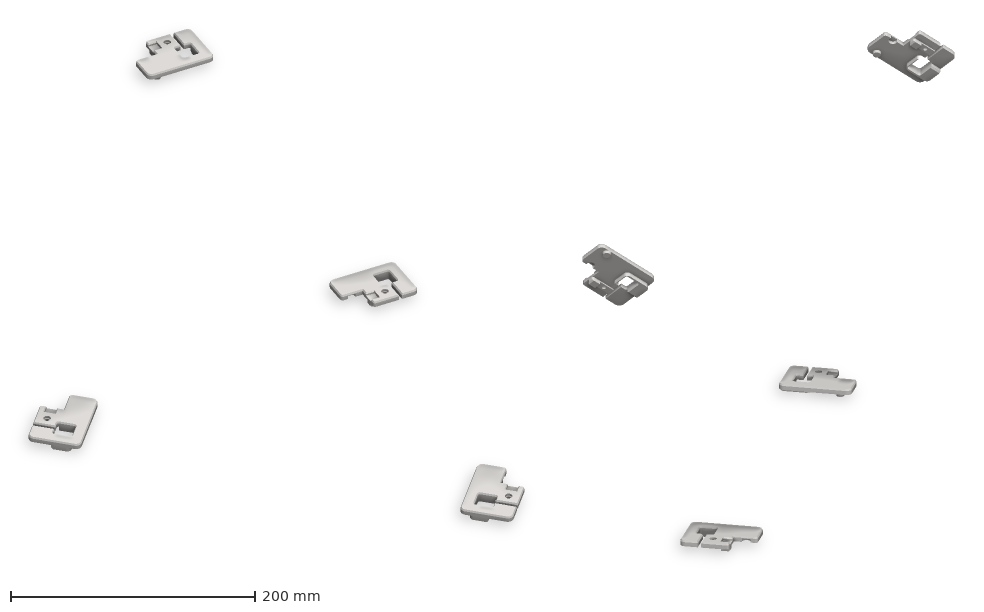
import cadquery as cq
import math

pair_length = 410.0
plate_width = 44.5
plate_depth = 61.0
total_height = 9.0
underside_height = 4.0
plate_thickness = total_height - underside_height
top = total_height / 2
plate_bottom = top - plate_thickness
lowest = top - total_height
left_edge = -pair_length / 2
back_edge = plate_depth / 2

leg_left = 20.0
block_depth = 41.5
large_radius = 5.0
leg_radius = 2.5
block_radius = 1.85
top_bevel_in = 1.0
top_bevel_down = 1.45
bevel_angle = math.degrees(math.atan(top_bevel_in / top_bevel_down))

window_left = 19.0
window_right = 35.0
window_back = 10.0
window_front = 24.0
window_radius = 1.5
slot_width = 3.0
slot_center = (window_back + window_front) / 2
slot_back = slot_center - slot_width / 2
slot_front = slot_center + slot_width / 2

collar_left = leg_left
collar_right = 36.5
collar_front = 25.0
collar_radius = 3.5
collar_end_radius = 1.5
collar_bevel = 1.45

screw_x = 10.0
screw_y = 26.2
screw_diameter = 3.4
counterbore_diameter = 6.0
counterbore_depth = 2.0
notch_width = 9.0
notch_back = 33.5
notch_floor_depth = 2.5
notch_bevel = 1.02
peg_width = 6.0
peg_radius = 1.5
peg_bevel = 1.2
rib_drop = 1.2

foot_base_diameter = 7.5
foot_tip_diameter = 6.0
foot_drop = 2.25
foot_x = plate_width - foot_base_diameter / 2
foot_y = 51.5
recess_inset = 1.2
recess_x = leg_left + recess_inset
recess_diameter = foot_base_diameter
recess_depth = 3.0

through = 20.5


def place(x, y):
    """Global X, Y of a point given by its distances from the outer and the back edge."""
    return left_edge + x, back_edge - y


def block(x_range, y_range, z_range):
    """Box between two distances from the outer edge, two from the back edge, and two heights."""
    x, y = place(x_range[0], y_range[1])
    size = [limits[1] - limits[0] for limits in (x_range, y_range, z_range)]
    return cq.Workplane("XY").box(*size, centered=False).translate((x, y, z_range[0]))


def cylinder(x, y, diameter, z_range):
    center = (*place(x, y), z_range[0])
    return cq.Workplane("XY", origin=center).circle(diameter / 2).extrude(z_range[1] - z_range[0])


def fillet_corner(body, x, y, radius):
    corner = cq.selectors.NearestToPointSelector((*place(x, y), 0))
    return body.edges("|Z").edges(corner).fillet(radius)


def window_and_slot():
    tall = (-through, through)
    window = block((window_left, window_right), (window_back, window_front), tall)
    window = window.edges("|Z").fillet(window_radius)
    slot = block((-through, window_left + window_radius * 2), (slot_back, slot_front), tall)
    return window.union(slot)


def make_slab():
    """Plate cut to its outline, with a steep bevel around the top edge."""
    tall = (-through, through)
    height = (-plate_thickness / 2, plate_thickness / 2)
    slab = block((0, plate_width), (0, plate_depth), height)
    slab = slab.cut(block((-through, leg_left), (block_depth, plate_depth + through), tall))
    for x, y, radius in (
        (0, 0, large_radius),
        (plate_width, 0, large_radius),
        (plate_width, plate_depth, large_radius),
        (leg_left, plate_depth, leg_radius),
        (0, block_depth, block_radius),
    ):
        slab = fillet_corner(slab, x, y, radius)
    outline = slab.cut(window_and_slot()).faces(">Z").wires().val()
    outline = outline.translate(cq.Vector(0, 0, plate_bottom - plate_thickness / 2))

    straight = plate_thickness - top_bevel_down
    lower = cq.Solid.extrudeLinear(outline, [], cq.Vector(0, 0, straight))
    shoulder = outline.translate(cq.Vector(0, 0, straight))
    upper = cq.Solid.extrudeLinear(shoulder, [], cq.Vector(0, 0, top_bevel_down), bevel_angle)
    return cq.Workplane(obj=lower).union(cq.Workplane(obj=upper))


def make_collar():
    """Rim below the window, with a beveled end on its back arm."""
    collar = block((collar_left, collar_right), (0, collar_front), (lowest, plate_bottom))
    collar = collar.edges("|Z and >X").fillet(collar_radius)
    collar = fillet_corner(collar, collar_left, collar_front, collar_end_radius)
    back_arm_end = cq.selectors.NearestToPointSelector((*place(collar_left, slot_back / 2), lowest))
    collar = collar.cut(window_and_slot())
    return collar.edges("|Y and <Z").edges(back_arm_end).chamfer(collar_bevel)


def make_notch():
    """Open-fronted notch with beveled side edges."""
    half = notch_width / 2
    floor = top - notch_floor_depth
    notch = block((screw_x - half, screw_x + half), (notch_back, block_depth + through), (floor, top))
    x, y = place(screw_x, block_depth)
    bevel = (
        cq.Workplane("XZ", origin=(x, y, top))
        .moveTo(-half - notch_bevel, 0)
        .lineTo(half + notch_bevel, 0)
        .lineTo(half, -notch_bevel)
        .lineTo(-half, -notch_bevel)
        .close()
        .extrude(block_depth - notch_back, both=True)
    )
    behind = block((0, plate_width), (0, notch_back), (-through, through))
    return notch.union(bevel.cut(behind))


def make_peg_and_rib():
    """Peg below the notch and the shallow rib that runs from it back to the slot."""
    sides = (screw_x - peg_width / 2, screw_x + peg_width / 2)
    peg = block(sides, (notch_back, block_depth), (lowest, plate_bottom))
    peg = peg.faces("<Z").edges("<Y").chamfer(peg_bevel)
    peg = peg.edges("|Z and <Y").fillet(peg_radius)
    rib = block(sides, (slot_front, notch_back), (plate_bottom - rib_drop, plate_bottom))
    return peg.union(rib)


def make_foot():
    """Round foot that tapers toward its tip."""
    return (
        cq.Workplane("XY", origin=(*place(foot_x, foot_y), plate_bottom))
        .circle(foot_base_diameter / 2)
        .workplane(offset=-foot_drop)
        .circle(foot_tip_diameter / 2)
        .loft()
    )


def make_screw_hole():
    hole = cylinder(screw_x, screw_y, screw_diameter, (-through, through))
    counterbore_range = (top - counterbore_depth, through)
    return hole.union(cylinder(screw_x, screw_y, counterbore_diameter, counterbore_range))


def make_recess():
    """Blind pocket from below that breaks out through the leg's outer face."""
    return cylinder(recess_x, foot_y, recess_diameter, (-through, plate_bottom + recess_depth))


def make_plate():
    plate = make_slab().union(make_collar()).union(make_peg_and_rib()).union(make_foot())
    for cutter in (make_notch(), make_screw_hole(), make_recess()):
        plate = plate.cut(cutter)
    return plate


plates = []
for mirrored in (False, True):
    plate = make_plate()
    if mirrored:
        plate = plate.mirror("YZ")
    plates.append(plate.solids().val())

result = cq.Compound.makeCompound(plates)